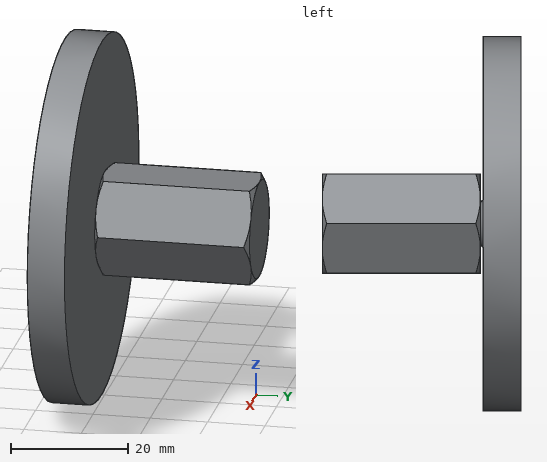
import cadquery as cq
import math

disc_diameter = 64.0
disc_thickness = 6.5

neck_base_diameter = 8.2
neck_length = 0.5
neck_top_diameter = neck_base_diameter - 2 * neck_length

hex_across_flats = 17.0
hex_length = 27.0
hex_across_corners = hex_across_flats / math.cos(math.radians(30))
chamfer_angle = 30.0

neck_start = disc_thickness
hex_start = neck_start + neck_length


def plane_at(y):
    """XZ plane at height y along the part's axis, extruding toward +Y."""
    return cq.Workplane(cq.Plane(origin=(0, y, 0), xDir=(1, 0, 0), normal=(0, 1, 0)))


def make_disc():
    return plane_at(0).circle(disc_diameter / 2).extrude(disc_thickness)


def make_chamfer_envelope():
    """Turned blank whose conical ends round off the corners of the hexagon."""
    end_radius = hex_across_flats / 2
    corner_radius = hex_across_corners / 2
    chamfer_length = (corner_radius - end_radius) * math.tan(math.radians(chamfer_angle))
    hex_end = hex_start + hex_length
    return (
        cq.Workplane("XY")
        .moveTo(0, hex_start)
        .lineTo(end_radius, hex_start)
        .lineTo(corner_radius, hex_start + chamfer_length)
        .lineTo(corner_radius, hex_end - chamfer_length)
        .lineTo(end_radius, hex_end)
        .lineTo(0, hex_end)
        .close()
        .revolve(360, (0, 0, 0), (0, 1, 0))
    )


def make_neck():
    return (
        cq.Workplane("XY")
        .moveTo(0, neck_start)
        .lineTo(neck_base_diameter / 2, neck_start)
        .lineTo(neck_top_diameter / 2, hex_start)
        .lineTo(0, hex_start)
        .close()
        .revolve(360, (0, 0, 0), (0, 1, 0))
    )


def make_hex_spacer():
    hexagon = plane_at(hex_start).polygon(6, hex_across_corners).extrude(hex_length)
    return hexagon.intersect(make_chamfer_envelope()).union(make_neck())


disc = make_disc()
hex_spacer = make_hex_spacer()

result = cq.Compound.makeCompound([disc.val(), hex_spacer.val()])